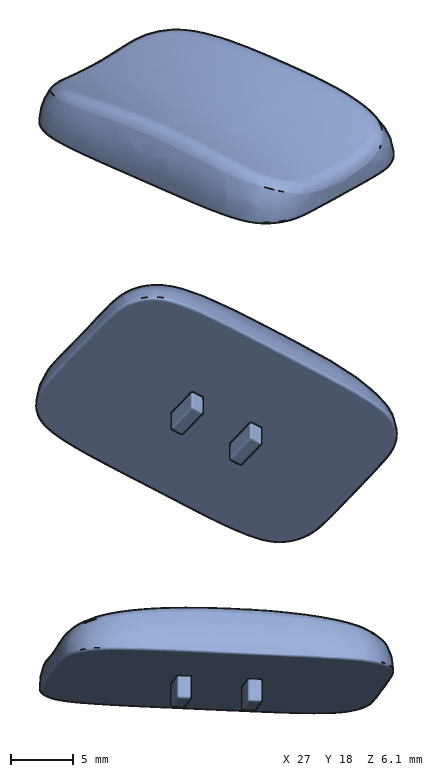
import cadquery as cq
import math


WALL_SECTIONS = [
    (0.0, 13.46, 9.00, 5.1),
    (1.4, 13.37, 8.82, 4.9),
    (2.5, 12.95, 8.48, 4.5),
    (3.5, 12.20, 7.96, 4.2),
    (5.0, 10.60, 7.10, 4.0),
]
POINTS_PER_QUADRANT = 8

CENTRE_HEIGHT = 3.45
HOLLOW_RADIUS = 28.0
CROWN_RADIUS = 66.0
CUT_MARGIN = 2.0
TOP_FILLET = 1.24
BASE_FILLET = 0.2

LEG_SPACING = 5.7
LEG_THICKNESS = 1.17
LEG_WIDTH = 2.97
LEG_DEPTH = 1.85
LEG_OVERLAP = 0.5
LEG_FILLET = 0.17


def section_point(angle, half_length, half_width, exponent):
    """Point of a superellipse in the direction of a stretched polar angle."""
    along = math.cos(angle)
    across = math.sin(angle)
    radius = (abs(along) ** exponent + abs(across) ** exponent) ** (-1 / exponent)
    return half_length * radius * along, half_width * radius * across


def section_wire(height, half_length, half_width, exponent):
    """Closed smooth wall section at the given height."""
    count = 4 * POINTS_PER_QUADRANT
    points = []
    for i in range(count):
        x, y = section_point(2 * math.pi * i / count, half_length, half_width, exponent)
        points.append(cq.Vector(x, y, height))
    return cq.Wire.assembleEdges([cq.Edge.makeSpline(points, periodic=True)])


def wall_block():
    """Tapering block bounded by the shell wall, taller than the finished shell."""
    wires = [section_wire(*section) for section in WALL_SECTIONS]
    return cq.Workplane(obj=cq.Solid.makeLoft(wires))


def saddle_cutter():
    """Ring-shaped tool whose inner surface is the saddle of the key top."""
    reach = WALL_SECTIONS[0][2] + CUT_MARGIN
    rise = HOLLOW_RADIUS - math.sqrt(HOLLOW_RADIUS**2 - reach**2)
    ceiling = WALL_SECTIONS[-1][0] + CUT_MARGIN
    profile = (
        cq.Workplane("YZ")
        .moveTo(-reach, CENTRE_HEIGHT + rise)
        .threePointArc((0, CENTRE_HEIGHT), (reach, CENTRE_HEIGHT + rise))
        .lineTo(reach, ceiling)
        .lineTo(-reach, ceiling)
        .close()
    )
    axis_height = CENTRE_HEIGHT - CROWN_RADIUS
    return profile.revolve(360, (0, axis_height, 0), (1, axis_height, 0))


def shell():
    """Solid key body with a rounded top rim and a softened base edge."""
    body = wall_block().cut(saddle_cutter())
    body = body.faces(">Z").edges().fillet(TOP_FILLET)
    return body.faces("<Z").edges().fillet(BASE_FILLET)


def leg(x):
    """Rounded stem leg standing on the underside, reaching into the shell."""
    return (
        cq.Workplane("XY", origin=(x, 0, -LEG_DEPTH))
        .rect(LEG_THICKNESS, LEG_WIDTH)
        .extrude(LEG_DEPTH + LEG_OVERLAP)
        .edges("|Z or <Z")
        .fillet(LEG_FILLET)
    )


result = shell()
for side in (-1, 1):
    result = result.union(leg(side * LEG_SPACING / 2))